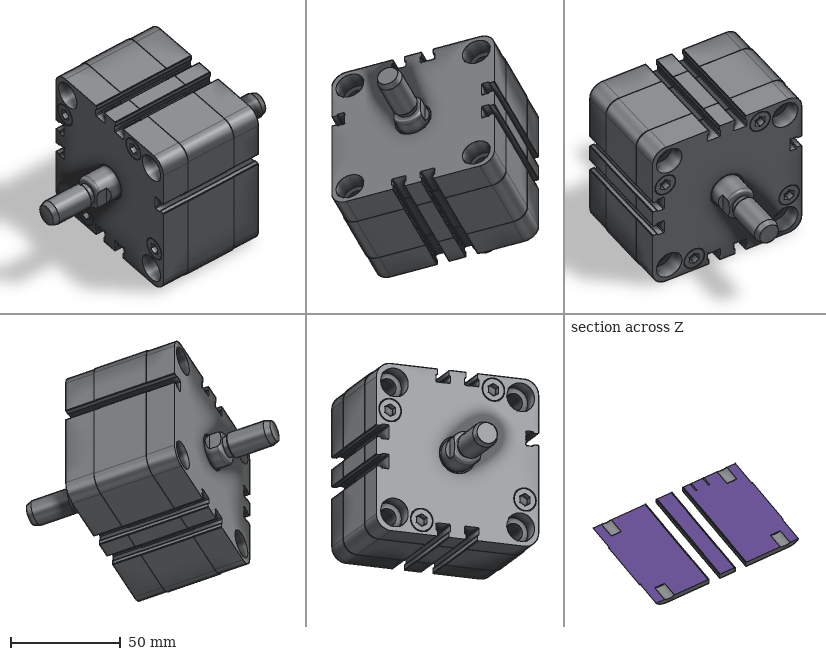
import cadquery as cq
import math

total_length = 123.0
body_side = 80.0

rod_diameter = 16.0
thread_diameter = 12.0
neck_diameter = 10.0
thread_end_length = 24.0
front_collar_length = 12.5
back_collar_length = 7.5
collar_fillet = 1.8
neck_length = 2.1
thread_lead_in = 0.7
tip_taper_length = 2.8
flat_width = 13.0
flat_length = 5.8
rod_clearance_diameter = 17.6
rod_clearance_depth = 0.6

body_length = total_length - front_collar_length - back_collar_length - 2 * thread_end_length
cap_length = 14.3
barrel_length = body_length - 2 * cap_length
cap_corner_radius = 7.1
barrel_corner_radius = 6.8
cap_side = 79.7

slot_offset = 7.0
single_slot_offset = 11.8
slot_mouth_width = 5.5
slot_inner_width = 7.0
slot_lip = 2.5
cap_slot_depth = 6.3
barrel_slot_depth = 5.9
slot_corner = 0.5
slot_mouth_chamfer = 0.31

mount_offset = 31.0
mount_diameter = 8.4
mount_bore_diameter = 13.5
mount_bore_depth = 8.5

screw_near_offset = 17.6
screw_far_offset = 33.1
screw_bore_diameter = 11.1
screw_head_diameter = 10.5
screw_head_depth = 4.9
hex_across_flats = 5.0
hex_depth = 3.7

front_face = -body_length / 2
back_face = body_length / 2


def plane_at(y):
    """XZ plane at the given Y, whose extrusions run toward +Y."""
    return cq.Workplane(cq.Plane(origin=(0, y, 0), xDir=(1, 0, 0), normal=(0, -1, 0)))


def block(y_start, length, side, corner_radius):
    return (
        plane_at(y_start)
        .rect(side, side)
        .extrude(-length)
        .edges("|Y")
        .fillet(corner_radius)
    )


def top_slot(offset, y_start, length, side, depth):
    """T-slot cutter in the +Z side, centred at X = offset."""
    mouth = slot_mouth_width / 2
    inner = slot_inner_width / 2
    half_side = side / 2
    shoulder = half_side - slot_lip
    floor = half_side - depth
    right_side = [
        (mouth + slot_mouth_chamfer, half_side),
        (mouth, half_side - slot_mouth_chamfer),
        (mouth, shoulder),
        (inner - slot_corner, shoulder),
        (inner, shoulder - slot_corner),
        (inner, floor + slot_corner),
        (inner - slot_corner, floor),
    ]
    left_side = [(-x, z) for x, z in reversed(right_side)]
    outline = [(x + offset, z) for x, z in right_side + left_side]
    return plane_at(y_start).polyline(outline).close().extrude(-length)


def section(y_start, length, side, corner_radius, slot_depth):
    """One length of the body with its T-slots."""
    solid = block(y_start, length, side, corner_radius)
    for turn in (0, 180, 270):
        for direction in (-1, 1):
            slot = top_slot(direction * slot_offset, y_start, length, side, slot_depth)
            solid = solid.cut(slot.rotate((0, 0, 0), (0, 1, 0), turn))
    single_slot = top_slot(-single_slot_offset, y_start, length, side, slot_depth)
    return solid.cut(single_slot.rotate((0, 0, 0), (0, 1, 0), 90))


def body():
    barrel_start = front_face + cap_length
    barrel_end = barrel_start + barrel_length
    front_cap = section(front_face, cap_length, cap_side, cap_corner_radius, cap_slot_depth)
    barrel = section(barrel_start, barrel_length, body_side, barrel_corner_radius, barrel_slot_depth)
    back_cap = section(barrel_end, cap_length, cap_side, cap_corner_radius, cap_slot_depth)
    return front_cap.union(barrel).union(back_cap)


def mounting_holes():
    """Through holes at the four corners, counterbored from both end faces."""
    corners = [(sx * mount_offset, sz * mount_offset) for sx in (-1, 1) for sz in (-1, 1)]
    front_points = plane_at(front_face).pushPoints(corners)
    back_points = plane_at(back_face).pushPoints(corners)
    bore_radius = mount_bore_diameter / 2
    through = front_points.circle(mount_diameter / 2).extrude(-body_length)
    front = front_points.circle(bore_radius).extrude(-mount_bore_depth)
    back = back_points.circle(bore_radius).extrude(mount_bore_depth)
    return through.union(front).union(back)


def screw_recesses():
    """Narrow gap around each flush screw head, and its hexagon socket."""
    centres = [
        (screw_near_offset, screw_far_offset),
        (screw_far_offset, -screw_near_offset),
        (-screw_near_offset, -screw_far_offset),
        (-screw_far_offset, screw_near_offset),
    ]
    face = plane_at(front_face)
    gaps = (
        face.pushPoints(centres)
        .circle(screw_bore_diameter / 2)
        .circle(screw_head_diameter / 2)
        .extrude(-screw_head_depth)
    )
    hex_radius = hex_across_flats / math.sqrt(3)
    corner_angles = [math.pi / 3 * i for i in range(6)]
    hexagon = [(hex_radius * math.sin(a), hex_radius * math.cos(a)) for a in corner_angles]
    for x, z in centres:
        socket = face.polyline([(x + dx, z + dz) for dx, dz in hexagon]).close().extrude(-hex_depth)
        gaps = gaps.union(socket)
    return gaps


def rod_clearances():
    """Round recess in both end faces, leaving a gap around the rod."""
    radius = rod_clearance_diameter / 2
    front = plane_at(front_face).circle(radius).extrude(-rod_clearance_depth)
    back = plane_at(back_face).circle(radius).extrude(rod_clearance_depth)
    return front.union(back)


def rod_end(collar_length):
    """Rod end pointing along +Y, from the middle of the body to the threaded tip."""
    rod_radius = rod_diameter / 2
    thread_radius = thread_diameter / 2
    neck_radius = neck_diameter / 2
    shoulder = back_face + collar_length
    thread_start = shoulder + neck_length
    tip = shoulder + thread_end_length
    fillet_middle = collar_fillet * (1 - math.sqrt(0.5))
    end = (
        cq.Workplane("XY")
        .moveTo(0, 0)
        .lineTo(rod_radius, 0)
        .lineTo(rod_radius, shoulder - collar_fillet)
        .threePointArc(
            (rod_radius - fillet_middle, shoulder - fillet_middle),
            (rod_radius - collar_fillet, shoulder),
        )
        .lineTo(neck_radius, shoulder)
        .lineTo(neck_radius, thread_start)
        .lineTo(thread_radius, thread_start + thread_lead_in)
        .lineTo(thread_radius, tip - tip_taper_length)
        .lineTo(neck_radius, tip)
        .lineTo(0, tip)
        .close()
        .revolve(360, (0, 0, 0), (0, 1, 0))
    )
    flat_depth = rod_radius - flat_width / 2
    flat_start = shoulder - flat_length
    for side in (-1, 1):
        wrench_flat = (
            cq.Workplane("XY")
            .polyline([
                (side * flat_width / 2, flat_start),
                (side * flat_width / 2, shoulder),
                (side * rod_radius, shoulder),
                (side * rod_radius, flat_start - flat_depth),
            ])
            .close()
            .extrude(rod_radius, both=True)
        )
        end = end.cut(wrench_flat)
    return end


def rod():
    front = rod_end(front_collar_length).rotate((0, 0, 0), (0, 0, 1), 180)
    return front.union(rod_end(back_collar_length))


result = (
    body()
    .cut(mounting_holes())
    .cut(screw_recesses())
    .cut(rod_clearances())
    .union(rod())
)